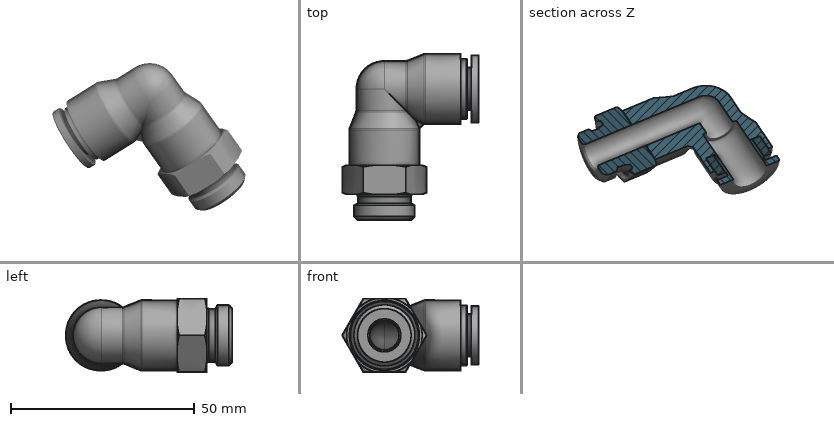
import cadquery as cq
import math


neck_radius = 15.3 / 2
socket_radius = 19.3 / 2
arm_length = 20.8
cone_start = 6.0
cone_end = 10.95
cone_blend_radius = 1.0
edge_search_margin = 1.0
bore_radius = 8.0 / 2
tube_radius = 10.2 / 2
tube_stop = 8.0
web_thickness = 2.0
web_reach = 10.8
web_height = 9.55
web_root = 7.0

hex_across_flats = 20.0
hex_across_corners = hex_across_flats / math.cos(math.radians(30))
hex_length = 8.0
hex_chamfer_radius = 10.3
hex_chamfer_length = 0.5
stud_length = 15.0
thread_radius = 16.66 / 2
relief_radius = 14.6 / 2
thread_chamfer = thread_radius - relief_radius
thread_bevel_length = 0.6
thread_length = 4.0
root_cone_length = 0.55
recess_depth = 1.2
recess_mouth_radius = 19.1 / 2
recess_floor_radius = 18.5 / 2
recess_root_radius = 15.9 / 2
stud_bore_chamfer = 0.5

collar_radius = 16.5 / 2
collar_projection = 1.8
collar_seat_depth = 5.0
collar_chamfer = 0.2
sleeve_radius = 11.7 / 2
sleeve_end = 25.8
flange_thickness = 2.05
flange_height_y = 18.5
flange_height_z = 16.1
flange_edge_radius = 0.4

collar_seat = arm_length - collar_seat_depth
collar_end = arm_length + collar_projection
hex_end = arm_length + hex_length
stud_end = arm_length + stud_length


def turned_x(points):
    """Solid turned about the X axis from (x, radius) points."""
    return cq.Workplane("XY").polyline(points).close().revolve(360, (0, 0, 0), (1, 0, 0))


def rod_x(radius, start, end):
    """Round rod along the X axis."""
    return cq.Workplane("YZ").workplane(offset=start).circle(radius).extrude(end - start)


def point_down(body):
    """Turn a body lying along +X so that it lies along -Y."""
    return body.rotate((0, 0, 0), (0, 0, 1), -90)


def make_arm():
    """Outside of one arm: a slim neck, a cone and a wider socket, with blended cone edges."""
    arm = turned_x([
        (0, 0),
        (0, neck_radius),
        (cone_start, neck_radius),
        (cone_end, socket_radius),
        (arm_length, socket_radius),
        (arm_length, 0),
    ])
    cone_edges = cq.selectors.BoxSelector(
        (cone_start - edge_search_margin, -edge_search_margin, -edge_search_margin),
        (cone_end + edge_search_margin, edge_search_margin, edge_search_margin),
    )
    return arm.edges("%CIRCLE").edges(cone_edges).fillet(cone_blend_radius)


def make_web():
    """Thin web that fills the inside corner between the two cones."""
    outline = [(web_root, -web_root), (web_reach, -web_height), (web_height, -web_reach)]
    return cq.Workplane("XY").polyline(outline).close().extrude(web_thickness / 2, both=True)


def make_elbow():
    """Elbow with a ball-cornered passage, a tube socket and a seat for the collar."""
    arm = make_arm()
    outside = arm.union(point_down(arm)).union(cq.Workplane("XY").sphere(neck_radius)).union(make_web())
    bore = rod_x(bore_radius, 0, arm_length)
    passage = bore.union(point_down(bore)).union(cq.Workplane("XY").sphere(bore_radius))
    tube_socket = rod_x(tube_radius, tube_stop, arm_length)
    seat = rod_x(collar_radius, collar_seat, arm_length)
    return outside.cut(passage).cut(tube_socket).cut(seat)


def make_hexagon():
    """Hexagon along +X with its corners chamfered at both ends; two corners point along Y."""
    corner_radius = hex_across_corners / 2
    prism = (
        cq.Workplane("YZ").workplane(offset=arm_length)
        .polygon(6, hex_across_corners).extrude(hex_length)
    )
    envelope = turned_x([
        (arm_length, 0),
        (arm_length, hex_chamfer_radius),
        (arm_length + hex_chamfer_length, corner_radius),
        (hex_end - hex_chamfer_length, corner_radius),
        (hex_end, hex_chamfer_radius),
        (hex_end, 0),
    ])
    return prism.intersect(envelope)


def make_stud():
    """Hexagonal stud with a recessed end face and a threaded spigot modelled as a plain cylinder."""
    recess_floor = hex_end - recess_depth
    recess = turned_x([
        (recess_floor, 0),
        (recess_floor, recess_floor_radius),
        (hex_end, recess_mouth_radius),
        (hex_end, 0),
    ])
    thread_start = stud_end - thread_length
    spigot = turned_x([
        (recess_floor, 0),
        (recess_floor, recess_root_radius),
        (hex_end + root_cone_length, relief_radius),
        (thread_start - thread_bevel_length, relief_radius),
        (thread_start, thread_radius),
        (stud_end - thread_chamfer, thread_radius),
        (stud_end, relief_radius),
        (stud_end, 0),
    ])
    bore = turned_x([
        (arm_length, 0),
        (arm_length, bore_radius),
        (stud_end - stud_bore_chamfer, bore_radius),
        (stud_end, bore_radius + stud_bore_chamfer),
        (stud_end, 0),
    ])
    return point_down(make_hexagon().cut(recess).union(spigot).cut(bore))


def make_collar():
    """Retaining collar that fills the elbow seat and guides the release sleeve."""
    ring = rod_x(collar_radius, collar_seat, collar_end).faces(">X").edges().chamfer(collar_chamfer)
    return ring.cut(rod_x(sleeve_radius, collar_seat, collar_end))


def make_sleeve():
    """Release sleeve that slides in the collar and ends in an oval flange."""
    flange = (
        cq.Workplane("YZ").workplane(offset=sleeve_end - flange_thickness)
        .ellipse(flange_height_y / 2, flange_height_z / 2).extrude(flange_thickness)
        .faces(">X").edges().fillet(flange_edge_radius)
    )
    neck = rod_x(sleeve_radius, collar_seat, sleeve_end - flange_thickness)
    return neck.union(flange).cut(rod_x(tube_radius, collar_seat, sleeve_end))


elbow = make_elbow()
stud = make_stud()
collar = make_collar()
sleeve = make_sleeve()

result = cq.Compound.makeCompound([elbow.val(), stud.val(), collar.val(), sleeve.val()])